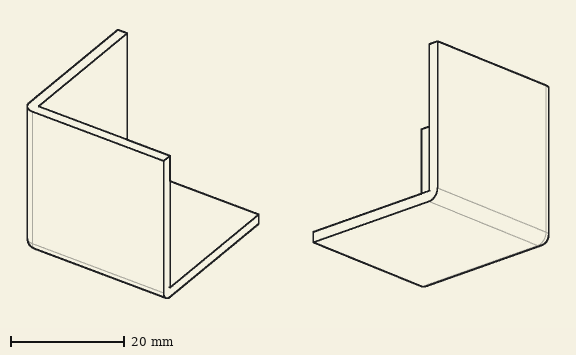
import cadquery as cq

side = 30.0
wall = 2.0
outer_radius = wall

cube = cq.Workplane("XY").box(side, side, side, centered=False)
rounded_cube = cube.edges("(<X and <Y) or (<X and <Z) or (<Y and <Z)").fillet(outer_radius)

inside_size = side - wall
inside = (
    cq.Workplane("XY")
    .box(inside_size, inside_size, inside_size, centered=False)
    .translate((wall, wall, wall))
)

result = rounded_cube.cut(inside)